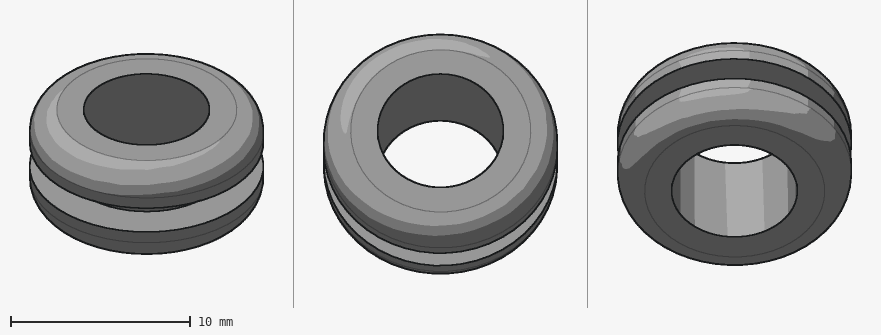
import cadquery as cq

outer_diameter = 13.0
height = 6.0
bore_diameter = 7.0
groove_diameter = 9.0
groove_width = 1.6
rim_radius = 1.5


def centered_cylinder(diameter, length):
    """Cylinder along Z, centered on the origin."""
    return cq.Workplane("XY").cylinder(length, diameter / 2)


body = centered_cylinder(outer_diameter, height)
body = body.faces("<Z or >Z").edges().fillet(rim_radius)

groove = centered_cylinder(outer_diameter, groove_width).cut(
    centered_cylinder(groove_diameter, groove_width)
)

bore = centered_cylinder(bore_diameter, height)

result = body.cut(groove).cut(bore)